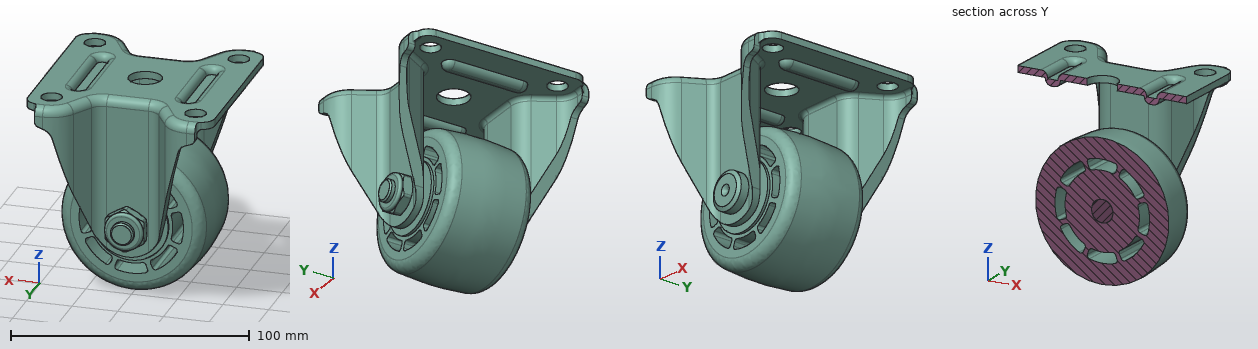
import cadquery as cq
import math


wheel_radius = 32.5
total_height = 90.0
top_z = total_height - wheel_radius
sheet = 3.2

plate_length = 82.0
plate_corner_radius = 6.0
bracket_depth = 89.5
leg_half_depth = 25.7
inner_bend_radius = 2.0
outer_bend_radius = 4.0
waist_flat_half = 9.2
waist_radius = 6.4
tab_radius = 13.2
flank_angle = 60
tab_half = 35.1
relief_radius = 2.0

leg_bottom_z = -13.5
leg_bottom_radius = 15.0
leg_taper = 15.7
tab_corner_drop = 8.2
tab_corner_radius = 2.5
tab_to_leg_radius = 6.0
tab_edge_slope = 19.5

mount_spacing = 63.0
mount_hole_radius = 4.5
centre_hole_radius = 7.2
bead_x = 24.0
bead_centres = 34.0
groove_width = 4.9
groove_depth = 3.3
groove_lip_radius = 3.15
bead_rib_width = 7.6
bead_rib_radius = 3.2

wheel_width = 40.7
tread_edge_radius = 31.05
tread_fillet = 4.95
hub_radius = 16.5
hub_width = 43.2
window_count = 8
window_inner_radius = 18.2
window_outer_radius = 22.9
window_angle = 38.6
window_fillet = 1.35

axle_radius = 5.0
axle_end_y = 34.65
axle_end_chamfer = 0.7
head_radius = 9.1
head_height = 5.2
head_chamfer_height = 1.1
head_face_radius = 7.2
centre_mark_radius = 2.6
centre_mark_depth = 1.5
nut_flats = 17.0
nut_hex_height = 4.9
nut_corner_radius = 1.35
nut_chamfer_height = 0.7
nut_chamfer_angle = 30
nut_collar_height = 1.6
nut_collar_fillet = 1.3

beyond = 54.0
margin = 0.1


def rounded_outline(plane, corners):
    """Closed wire through (u, v, radius) corners; each radius above zero becomes a tangent arc."""
    path = None
    for i, (u, v, radius) in enumerate(corners):
        corner = cq.Vector(u, v)
        before = (cq.Vector(*corners[i - 1][:2]) - corner).normalized()
        after = (cq.Vector(*corners[(i + 1) % len(corners)][:2]) - corner).normalized()
        half_angle = before.getAngle(after) / 2
        setback = radius / math.tan(half_angle)
        start = corner + before * setback
        path = path.lineTo(start.x, start.y) if path else cq.Workplane(plane).moveTo(start.x, start.y)
        if radius > 0:
            bisector = (before + after).normalized()
            middle = corner + bisector * (radius / math.sin(half_angle) - radius)
            end = corner + after * setback
            path = path.threePointArc((middle.x, middle.y), (end.x, end.y))
    return path.close()


def slots(width, z):
    """The two bead shapes, side by side at height z."""
    return (
        cq.Workplane(origin=(0, 0, z))
        .pushPoints([(-bead_x, 0), (bead_x, 0)])
        .slot2D(bead_centres + width, width, 90)
    )


def waist_outline():
    """Hourglass plan of the outer leg faces, left long at both X ends."""
    half_angle = math.radians(flank_angle / 2)
    tab_y = bracket_depth / 2
    waist_x = waist_flat_half + waist_radius * math.tan(half_angle)
    flank_x = waist_x + (tab_y - leg_half_depth) / math.tan(math.radians(flank_angle))
    quarter = [(waist_x, leg_half_depth, waist_radius), (flank_x, tab_y, tab_radius), (beyond, tab_y, 0)]
    right = quarter + [(x, -y, r) for x, y, r in reversed(quarter)]
    left = [(-x, -y, r) for x, y, r in right]
    return rounded_outline("XY", right + left)


def bent_sheet():
    """Plate and both legs as one bent channel, before its edges are trimmed."""
    long_edges = cq.selectors.BoxSelector(
        (-beyond + margin, -beyond, top_z - margin), (beyond - margin, beyond, top_z + margin)
    )
    outside = (
        waist_outline().extrude(top_z + beyond).translate((0, 0, -beyond))
        .faces(">Z").edges(long_edges).fillet(outer_bend_radius)
    )
    inside = (
        waist_outline().offset2D(-sheet).extrude(top_z - sheet + beyond).translate((0, 0, -beyond))
        .faces(">Z").edges("not(<X or >X)").fillet(inner_bend_radius)
    )
    return outside.cut(inside)


def front_profile():
    """Solid along Y with the bracket's outline as seen along the axle."""
    taper = math.radians(leg_taper)
    slope = math.tan(math.radians(tab_edge_slope))
    apex_z = leg_bottom_z + leg_bottom_radius - leg_bottom_radius / math.sin(taper)
    tab_z = top_z - tab_corner_drop
    join_x = math.tan(taper) * (tab_z - slope * tab_half - apex_z) / (1 - slope * math.tan(taper))
    join_z = tab_z - slope * (tab_half - join_x)
    right = [
        (beyond, top_z, 0),
        (beyond, top_z - sheet, 0),
        (tab_half, top_z - sheet, relief_radius),
        (tab_half, tab_z, tab_corner_radius),
        (join_x, join_z, tab_to_leg_radius),
    ]
    left = [(-x, z, r) for x, z, r in reversed(right)]
    outline = rounded_outline("XZ", right + [(0, apex_z, leg_bottom_radius)] + left)
    return outline.extrude(beyond, both=True)


def plan_profile():
    """Upright solid with the plan of the plate and its four tabs."""
    height = 3 * top_z
    plate_width = bracket_depth - 2 * outer_bend_radius
    plate = (
        cq.Workplane().box(plate_length, plate_width, height)
        .edges("|Z").fillet(plate_corner_radius)
    )
    tabs = cq.Workplane().box(2 * tab_half, bracket_depth, height)
    plan = plate.union(tabs)
    inner_corners = [
        edge for edge in plan.edges("|Z").vals()
        if abs(abs(edge.Center().x) - tab_half) < margin and abs(edge.Center().y) < bracket_depth / 2 - margin
    ]
    return plan.newObject(inner_corners).fillet(relief_radius)


def add_beads(bracket):
    """Two pressed beads: rounded ribs below, grooves with rolled lips above."""
    rib_root_z = top_z - sheet / 2
    rib_bottom_z = top_z - sheet - groove_depth
    ribs = (
        slots(bead_rib_width, rib_root_z).extrude(rib_bottom_z - rib_root_z)
        .faces("<Z").edges().fillet(bead_rib_radius)
    )
    bracket = bracket.union(ribs).cut(slots(groove_width, top_z).extrude(-groove_depth))
    rim_reach_y = bead_centres / 2 + groove_width
    groove_zone = cq.selectors.BoxSelector(
        (-bead_x - groove_width, -rim_reach_y, top_z - margin),
        (bead_x + groove_width, rim_reach_y, top_z + margin),
    )
    groove_rims = [
        edge for edge in bracket.edges(groove_zone).vals()
        if abs(abs(edge.Center().x) - bead_x) < groove_width
    ]
    return bracket.newObject(groove_rims).fillet(groove_lip_radius)


def cut_holes(bracket):
    """Four mounting holes and a centre hole in the plate, and the axle hole in both legs."""
    top = cq.Workplane(origin=(0, 0, top_z))
    mount_holes = (
        top.rect(mount_spacing, mount_spacing, forConstruction=True).vertices()
        .circle(mount_hole_radius).extrude(-2 * sheet)
    )
    centre_hole = top.circle(centre_hole_radius).extrude(-2 * sheet)
    axle_hole = cq.Workplane("XZ").circle(axle_radius).extrude(beyond, both=True)
    return bracket.cut(mount_holes).cut(centre_hole).cut(axle_hole)


def make_bracket():
    """Bent sheet trimmed to its edges, with beads and holes."""
    trimmed = bent_sheet().intersect(front_profile()).intersect(plan_profile())
    return cut_holes(add_beads(trimmed))


def make_wheel():
    """Crowned tread with a hub, an axle bore and a ring of windows."""
    half = wheel_width / 2
    tread = (
        cq.Workplane("XY")
        .moveTo(0, -half)
        .lineTo(tread_edge_radius, -half)
        .threePointArc((wheel_radius, 0), (tread_edge_radius, half))
        .lineTo(0, half).close()
        .revolve(360, (0, 0), (0, 1))
        .faces("<Y or >Y").edges().fillet(tread_fillet)
    )
    hub = cq.Workplane("XZ").circle(hub_radius).extrude(hub_width / 2, both=True)
    bore = cq.Workplane("XZ").circle(axle_radius).extrude(hub_width, both=True)
    wheel = tread.union(hub).cut(bore)
    window = wheel_window()
    for i in range(window_count):
        wheel = wheel.cut(window.rotate((0, 0, 0), (0, 1, 0), i * 360 / window_count))
    return wheel


def wheel_window():
    """Arc-shaped through window with radial ends, centred on +X."""
    half_angle = math.radians(window_angle / 2)
    ux, uz = math.cos(half_angle), math.sin(half_angle)
    return (
        cq.Workplane("XZ")
        .moveTo(window_inner_radius * ux, -window_inner_radius * uz)
        .lineTo(window_outer_radius * ux, -window_outer_radius * uz)
        .threePointArc((window_outer_radius, 0), (window_outer_radius * ux, window_outer_radius * uz))
        .lineTo(window_inner_radius * ux, window_inner_radius * uz)
        .threePointArc((window_inner_radius, 0), (window_inner_radius * ux, -window_inner_radius * uz))
        .close()
        .extrude(wheel_width, both=True)
        .edges("|Y").fillet(window_fillet)
    )


def lock_nut():
    """Hexagon with chamfered ends and a round collar, seated on the +Y leg."""
    inscribed_radius = nut_flats / 2
    hex_end_y = leg_half_depth + nut_hex_height
    chamfer_width = nut_chamfer_height / math.tan(math.radians(nut_chamfer_angle))
    hexagon = (
        cq.Workplane("XZ", origin=(0, leg_half_depth, 0))
        .transformed(rotate=(0, 0, 90))
        .polygon(6, nut_flats / math.cos(math.radians(30)))
        .extrude(-nut_hex_height)
        .edges("|Y").fillet(nut_corner_radius)
    )
    chamfered_envelope = (
        cq.Workplane("XY")
        .moveTo(0, leg_half_depth)
        .lineTo(inscribed_radius, leg_half_depth)
        .lineTo(inscribed_radius + chamfer_width, leg_half_depth + nut_chamfer_height)
        .lineTo(inscribed_radius + chamfer_width, hex_end_y - nut_chamfer_height)
        .lineTo(inscribed_radius, hex_end_y)
        .lineTo(0, hex_end_y).close()
        .revolve(360, (0, 0), (0, 1))
    )
    collar = (
        cq.Workplane("XZ", origin=(0, hex_end_y, 0))
        .circle(inscribed_radius).extrude(-nut_collar_height)
        .faces(">Y").edges().fillet(nut_collar_fillet)
    )
    return hexagon.intersect(chamfered_envelope).union(collar)


def make_axle():
    """Headed axle with its locking nut; the head is on the -Y side."""
    head_y = -leg_half_depth - head_height
    shaft = (
        cq.Workplane("XY")
        .moveTo(0, head_y + centre_mark_depth)
        .lineTo(centre_mark_radius, head_y)
        .lineTo(head_face_radius, head_y)
        .lineTo(head_radius, head_y + head_chamfer_height)
        .lineTo(head_radius, -leg_half_depth)
        .lineTo(axle_radius, -leg_half_depth)
        .lineTo(axle_radius, axle_end_y - axle_end_chamfer)
        .lineTo(axle_radius - axle_end_chamfer, axle_end_y)
        .lineTo(0, axle_end_y).close()
        .revolve(360, (0, 0), (0, 1))
    )
    return shaft.union(lock_nut())


bracket = make_bracket()
wheel = make_wheel()
axle = make_axle()

result = cq.Compound.makeCompound([bracket.val(), wheel.val(), axle.val()])